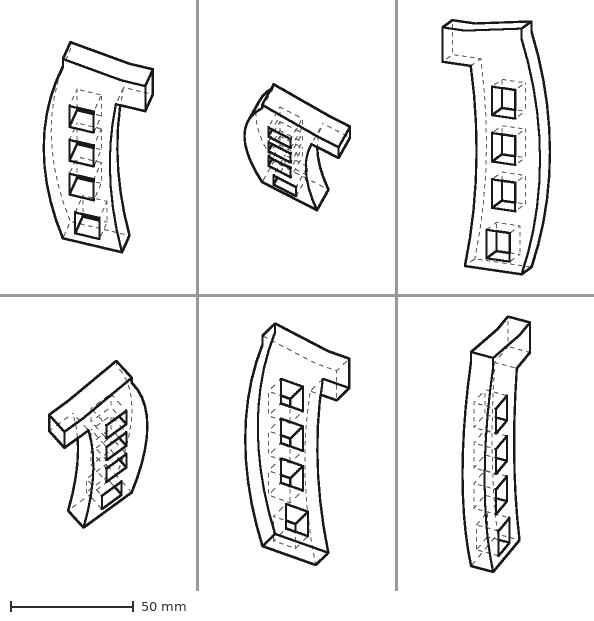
import cadquery as cq
import math

thickness = 10.0
body_width = 25.4
body_height = 101.6
top_slope_deg = 10.0

arm_length = 10.0
arm_height = 14.9

outer_bow = 8.245
inner_bow = 5.21

window_width = 10.4
window_height = 12.3
column_window_x = 8.05
column_window_z = 33.0
column_pitch = 20.0
column_count = 3
low_window_x = 10.5
low_window_z = 10.9

mid_height = body_height / 2
top_peak_z = body_height + body_width * math.tan(math.radians(top_slope_deg))
arm_end_x = body_width + arm_length
arm_bottom_z = body_height - arm_height
inner_radius = (mid_height**2 + inner_bow**2) / (2 * inner_bow)
inner_center_x = body_width - inner_bow + inner_radius


def inner_side_x(z):
    """X of the concave right side at height z."""
    return inner_center_x - math.sqrt(inner_radius**2 - (z - mid_height) ** 2)


def make_plate():
    """Bowed plate with a sloped top and a short arm."""
    return (
        cq.Workplane("XZ")
        .moveTo(0, 0)
        .threePointArc((-outer_bow, mid_height), (0, body_height))
        .lineTo(0, top_peak_z)
        .lineTo(body_width, body_height)
        .lineTo(arm_end_x, body_height)
        .lineTo(arm_end_x, arm_bottom_z)
        .lineTo(inner_side_x(arm_bottom_z), arm_bottom_z)
        .threePointArc((inner_side_x(mid_height), mid_height), (body_width, 0))
        .close()
        .extrude(thickness)
    )


def make_windows():
    """Blocks that cut the windows through the full thickness."""
    centers = [(low_window_x, low_window_z)]
    for row in range(column_count):
        centers.append((column_window_x, column_window_z + row * column_pitch))
    return (
        cq.Workplane("XZ")
        .pushPoints(centers)
        .rect(window_width, window_height)
        .extrude(thickness)
    )


result = make_plate().cut(make_windows())